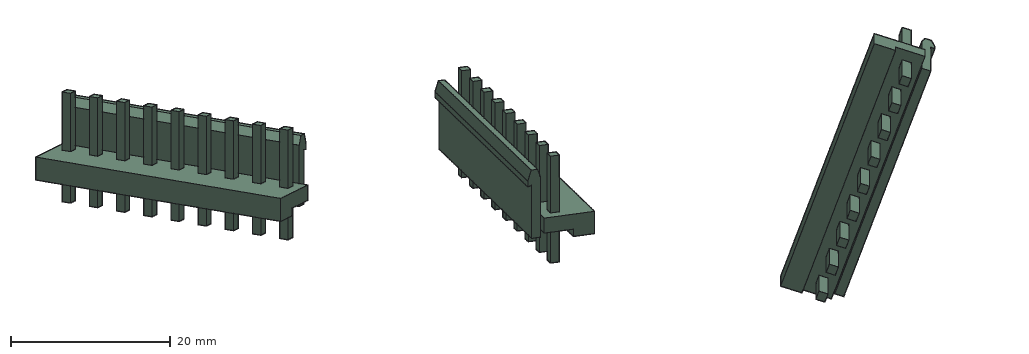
import cadquery as cq

body_length = 35.58
body_depth = 6.75
total_height = 14.4
body_bottom = 3.75
slab_bottom = 4.73
body_top = 6.75
foot_depth = 2.85

pin_count = 9
pin_pitch = 3.95
pin_width = 1.2
pin_row_y = 4.8

wall_length = 33.1
wall_thickness = 1.2
wall_top = 12.95
lead_in_width = 0.43
lead_in_bottom = 11.78
hook_reach = 0.55
hook_bottom = 10.9
hook_lip_bottom = 10.75
hook_ramp_bottom = 11.53
crest_width = 0.85

wall_back = body_depth + wall_thickness
crest_front = body_depth + lead_in_width


def extrude_along_x(profile, length):
    """Extrude a (Y, Z) outline along X, centred on the middle of the body."""
    return cq.Workplane("YZ").polyline(profile).close().extrude(length / 2, both=True)


base = extrude_along_x(
    [
        (0, body_bottom),
        (foot_depth, body_bottom),
        (foot_depth, slab_bottom),
        (body_depth, slab_bottom),
        (body_depth, body_top),
        (0, body_top),
    ],
    body_length,
)

wall = extrude_along_x(
    [
        (body_depth, body_bottom),
        (wall_back, body_bottom),
        (wall_back, hook_bottom),
        (wall_back + hook_reach, hook_lip_bottom),
        (wall_back + hook_reach, hook_ramp_bottom),
        (crest_front + crest_width, wall_top),
        (crest_front, wall_top),
        (body_depth, lead_in_bottom),
    ],
    wall_length,
)

first_pin_x = -pin_pitch * (pin_count - 1) / 2
pin_centres = [(first_pin_x + i * pin_pitch, pin_row_y) for i in range(pin_count)]
pins = (
    cq.Workplane("XY")
    .pushPoints(pin_centres)
    .rect(pin_width, pin_width)
    .extrude(total_height)
)

result = base.union(wall).union(pins)